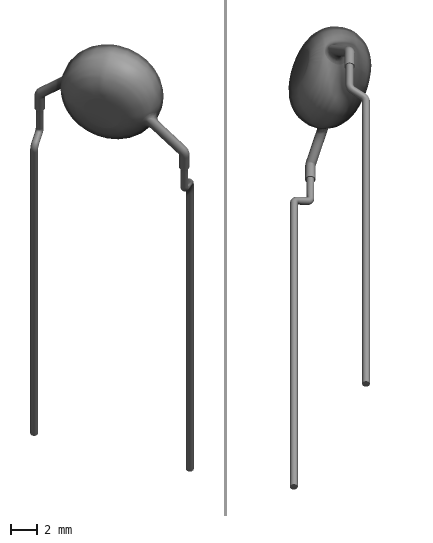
import cadquery as cq
import math

body_diameter = 8.0
body_thickness = 5.0
rim_radius = body_thickness / 2
flat_radius = body_diameter / 2 - rim_radius

lead_pitch = 12.5
lead_x = lead_pitch / 2
right_lead_end_z = -38.0
left_lead_end_z = -37.9
wire_diameter = 0.6
lead_offset_y = 1.4

coating_diameter = 0.8
coating_end_z = -4.8
shoulder_z = -3.5
shoulder_bend_radius = 0.55
shoulder_angle = 47.0
arm_length = 4.4
root_fillet_radius = 0.55

jog_top_z = -6.8
jog_bend_radius = 0.45
jog_angle = 70.0


def make_body():
    """Disc with a flat on each face and a fully rounded rim."""
    half = body_thickness / 2
    return (
        cq.Workplane("YZ")
        .moveTo(-half, 0)
        .lineTo(-half, flat_radius)
        .threePointArc((0, body_diameter / 2), (half, flat_radius))
        .lineTo(half, 0)
        .close()
        .revolve(360, (0, 0, 0), (1, 0, 0))
    )


def bend_offsets(radius, angle):
    """Sideways and lengthwise travel along a bend of the given angle in degrees."""
    turn = math.radians(angle)
    return radius * (1 - math.cos(turn)), radius * math.sin(turn)


def make_coated_arm():
    """Coated stretch: straight up from its lower end, then bent inwards into the body."""
    mid_side, mid_rise = bend_offsets(shoulder_bend_radius, shoulder_angle / 2)
    side, rise = bend_offsets(shoulder_bend_radius, shoulder_angle)
    slope = math.radians(shoulder_angle)
    bend_end = (lead_x - side, shoulder_z + rise)
    arm_end = (
        bend_end[0] - arm_length * math.sin(slope),
        bend_end[1] + arm_length * math.cos(slope),
    )
    path = (
        cq.Workplane("XZ", origin=(0, -lead_offset_y, 0))
        .moveTo(lead_x, coating_end_z)
        .lineTo(lead_x, shoulder_z)
        .threePointArc((lead_x - mid_side, shoulder_z + mid_rise), bend_end)
        .lineTo(*arm_end)
    )
    return (
        cq.Workplane("XY", origin=(lead_x, -lead_offset_y, coating_end_z))
        .circle(coating_diameter / 2)
        .sweep(path)
    )


def make_bare_wire(lead_end_z):
    """Bare wire: down from the coating, through the jog, then straight to its end."""
    mid_side, mid_drop = bend_offsets(jog_bend_radius, jog_angle / 2)
    side, drop = bend_offsets(jog_bend_radius, jog_angle)
    slope = math.radians(jog_angle)
    slant_width = lead_offset_y - 2 * side
    slant_drop = slant_width / math.tan(slope)
    jog_bottom_z = jog_top_z - 2 * drop - slant_drop
    path = (
        cq.Workplane("YZ", origin=(lead_x, 0, 0))
        .moveTo(-lead_offset_y, coating_end_z)
        .lineTo(-lead_offset_y, jog_top_z)
        .threePointArc(
            (-lead_offset_y + mid_side, jog_top_z - mid_drop),
            (-lead_offset_y + side, jog_top_z - drop),
        )
        .lineTo(-side, jog_bottom_z + drop)
        .threePointArc((-mid_side, jog_bottom_z + mid_drop), (0, jog_bottom_z))
        .lineTo(0, lead_end_z)
    )
    return (
        cq.Workplane("XY", origin=(lead_x, -lead_offset_y, coating_end_z))
        .circle(wire_diameter / 2)
        .sweep(path)
    )


def half_turn(shape):
    """The same shape turned half a revolution about Z."""
    return shape.rotate((0, 0, 0), (0, 0, 1), 180)


def join_arms(body):
    """Join both coated arms to the body and fillet the roots where they enter it."""
    arm = make_coated_arm()
    joined = body.union(arm).union(half_turn(arm))
    return joined.edges("%BSPLINE").fillet(root_fillet_radius)


def make_part():
    """Body with both coated arms and both bare wires."""
    right_wire = make_bare_wire(right_lead_end_z)
    left_wire = half_turn(make_bare_wire(left_lead_end_z))
    return join_arms(make_body()).union(right_wire).union(left_wire)


result = make_part()